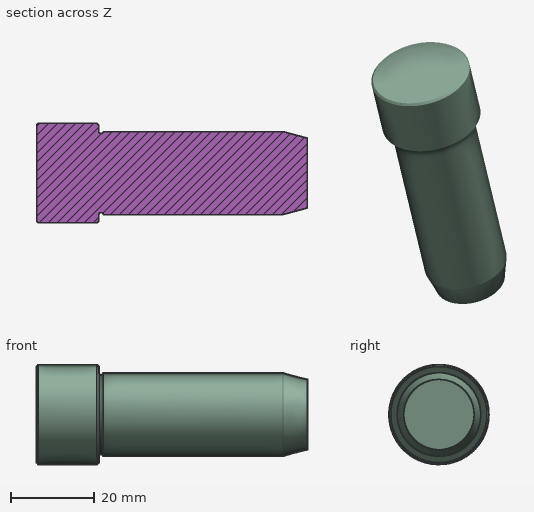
import cadquery as cq
import math

length = 65.0
head_length = 15.0
head_radius = 24.0 / 2
head_chamfer = 0.49

shank_radius = 20.0 / 2
groove_width = 1.0
groove_depth = 0.49
taper_length = 6.0
taper_angle = 14.9

groove_radius = shank_radius - groove_depth
groove_end = head_length + groove_width
groove_middle = head_length + groove_width / 2
taper_start = length - taper_length
tip_radius = shank_radius - taper_length * math.tan(math.radians(taper_angle))

profile = (
    cq.Workplane("XY")
    .moveTo(0, 0)
    .lineTo(0, head_radius - head_chamfer)
    .lineTo(head_chamfer, head_radius)
    .lineTo(head_length - head_chamfer, head_radius)
    .lineTo(head_length, head_radius - head_chamfer)
    .lineTo(head_length, shank_radius)
    .threePointArc((groove_middle, groove_radius), (groove_end, shank_radius))
    .lineTo(taper_start, shank_radius)
    .lineTo(length, tip_radius)
    .lineTo(length, 0)
    .close()
)

result = profile.revolve(360, (0, 0, 0), (1, 0, 0))